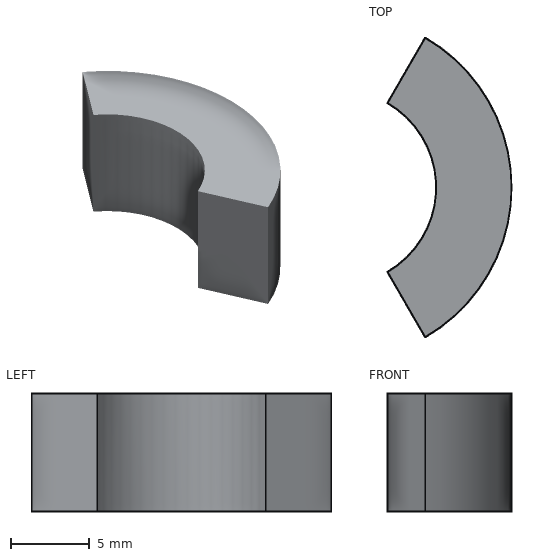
import cadquery as cq
import math

chord_length = 19.05
inner_radius = 6.2
height = 7.5
half_angle = math.radians(60)
outer_radius = chord_length / 2 / math.sin(half_angle)


def point_on_circle(radius, angle):
    return (radius * math.cos(angle), radius * math.sin(angle))


result = (
    cq.Workplane("XY")
    .moveTo(*point_on_circle(inner_radius, -half_angle))
    .lineTo(*point_on_circle(outer_radius, -half_angle))
    .threePointArc((outer_radius, 0), point_on_circle(outer_radius, half_angle))
    .lineTo(*point_on_circle(inner_radius, half_angle))
    .threePointArc((inner_radius, 0), point_on_circle(inner_radius, -half_angle))
    .close()
    .extrude(height)
)